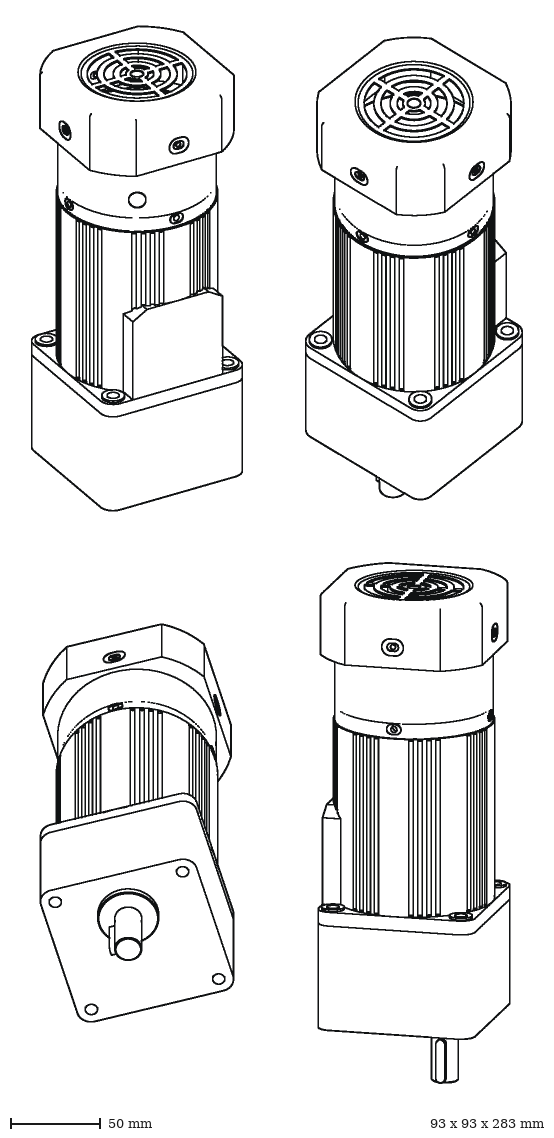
import cadquery as cq
import math

TOTAL_HEIGHT = 283.0
BOSS_BOTTOM = 32.0
GEARBOX_BOTTOM = 36.0
GEARBOX_TOP = 96.0
FLANGE_TOP = 104.0
FINS_TOP = 206.0
SPIGOT_TOP = 214.5
HEAD_BOTTOM = 247.0

BOX_WIDTH = 90.0
BOX_CORNER_RADIUS = 8.0
BOLT_SPACING = 73.5
BOLT_HOLE_DIAMETER = 6.8
PAD_DIAMETER = 12.7
PAD_HEIGHT = 1.0

SHAFT_OFFSET = -17.8
SHAFT_DIAMETER = 15.0
SHAFT_CHAMFER = 0.5
BOSS_DIAMETER = 34.0
BOSS_CHAMFER = 0.5
KEY_BOTTOM = SHAFT_CHAMFER
KEY_LENGTH = 25.0
KEY_WIDTH = 5.0
KEY_REACH = 10.2

GROOVE_RADIUS = 1.27
END_BAND = 0.8
FIN_SECTORS = 8
GROOVES_PER_SECTOR = 4
GROOVE_PITCH_ANGLE = 6.5
TERMINAL_BOX_WIDTH = 57.7
TERMINAL_BOX_TOP = 159.0
TERMINAL_BOX_SLOPE_RUN = 9.0
TERMINAL_BOX_SLOPE_DROP = 5.5

SKIRT_DIAMETER = 88.3
SKIRT_WALL = 0.5
SPIGOT_DIAMETER = SKIRT_DIAMETER - 2 * SKIRT_WALL
SCREW_Z = 211.0
SCREW_SLOT_LENGTH = 8.2
SCREW_SLOT_HEIGHT = 5.7
SCREW_SLOT_DEPTH = 2 * SKIRT_WALL
SCREW_HOLE_DIAMETER = 3.5
SCREW_HOLE_DEPTH = 4.2
CABLE_HOLE_DIAMETER = 9.5
CABLE_HOLE_Z = 226.0
CABLE_HOLE_AZIMUTH = -30.0

HEAD_WIDTH = 93.0
HEAD_CORNER_DIAMETER = 108.0
HEAD_WALL = 1.5
HEAD_TOP_WALL = 0.8
HEAD_FILLET = 2.8
HEAD_SLOT_Z = 259.0
HEAD_SLOT_LENGTH = 12.5
HEAD_SLOT_HEIGHT = 9.5
HEAD_SLOT_DEPTH = 0.3
INNER_SLOT_LENGTH = 6.5
INNER_SLOT_HEIGHT = 4.5
INNER_SLOT_DEPTH = 0.8
HEAD_HOLE_DIAMETER = 2.8

GRILLE_DIAMETER = 62.3
GRILLE_DEPTH = 0.8
GRILLE_SLOPE_WIDTH = 1.7
GRILLE_PLATE_DIAMETER = 69.5
VENT_RINGS = [(6.2, 9.3), (13.3, 18.5), (22.4, 27.7)]
SPOKE_WIDTH = 4.0
HUB_DIAMETER = 7.4
HUB_DEPTH = 0.5

QUARTER_TURNS = [0, 90, 180, 270]


def cylinder(diameter, bottom, top, x=0.0):
    """Upright cylinder between two heights."""
    return cq.Workplane("XY", origin=(x, 0, bottom)).circle(diameter / 2).extrude(top - bottom)


def rounded_box(bottom, top):
    """Square block with rounded upright edges."""
    block = cq.Workplane("XY", origin=(0, 0, bottom)).rect(BOX_WIDTH, BOX_WIDTH).extrude(top - bottom)
    return block.edges("|Z").fillet(BOX_CORNER_RADIUS)


def at_bolts(bottom):
    """Workplane with a point at each of the four bolts."""
    plane = cq.Workplane("XY", origin=(0, 0, bottom))
    return plane.rect(BOLT_SPACING, BOLT_SPACING, forConstruction=True).vertices()


def side_slot(length, height, z, outside, depth):
    """Cutter for a level slot that goes `depth` into the -Y side from the distance `outside`."""
    return cq.Workplane("XZ", origin=(0, depth - outside, z)).slot2D(length, height).extrude(depth)


def make_gearbox():
    """Gearbox housing with the output shaft, its boss and its key below."""
    gearbox = rounded_box(GEARBOX_BOTTOM, GEARBOX_TOP)
    bolt_holes = at_bolts(GEARBOX_BOTTOM).circle(BOLT_HOLE_DIAMETER / 2).extrude(GEARBOX_TOP - GEARBOX_BOTTOM)
    gearbox = gearbox.cut(bolt_holes)

    boss = cylinder(BOSS_DIAMETER, BOSS_BOTTOM, GEARBOX_BOTTOM, SHAFT_OFFSET)
    boss = boss.faces("<Z").edges().chamfer(BOSS_CHAMFER)
    shaft = cylinder(SHAFT_DIAMETER, 0, GEARBOX_BOTTOM, SHAFT_OFFSET)
    shaft = shaft.faces("<Z").edges().chamfer(SHAFT_CHAMFER)

    key_plane = cq.Workplane("XZ", origin=(SHAFT_OFFSET, KEY_REACH, KEY_BOTTOM + KEY_LENGTH / 2))
    key = key_plane.slot2D(KEY_LENGTH, KEY_WIDTH, 90).extrude(KEY_REACH)
    return gearbox.union(boss).union(shaft.union(key))


def make_flange():
    """Square plate between gearbox and motor, with a raised pad around each bolt hole."""
    flange = rounded_box(GEARBOX_TOP, FLANGE_TOP)
    pads_top = FLANGE_TOP + PAD_HEIGHT
    pads = at_bolts(FLANGE_TOP).circle(PAD_DIAMETER / 2).extrude(PAD_HEIGHT)
    bolt_holes = at_bolts(GEARBOX_TOP).circle(BOLT_HOLE_DIAMETER / 2).extrude(pads_top - GEARBOX_TOP)
    return flange.union(pads).cut(bolt_holes)


def make_terminal_box():
    """Block on the +X side with a roof that slopes down to both sides."""
    half_width = TERMINAL_BOX_WIDTH / 2
    ridge = half_width - TERMINAL_BOX_SLOPE_RUN
    eaves = TERMINAL_BOX_TOP - TERMINAL_BOX_SLOPE_DROP
    outline = [
        (-half_width, FLANGE_TOP),
        (half_width, FLANGE_TOP),
        (half_width, eaves),
        (ridge, TERMINAL_BOX_TOP),
        (-ridge, TERMINAL_BOX_TOP),
        (-half_width, eaves),
    ]
    return cq.Workplane("YZ").polyline(outline).close().extrude(BOX_WIDTH / 2)


def around_axis(shape, angle):
    """The shape turned about the motor axis."""
    return shape.rotate((0, 0, 0), (0, 0, 1), angle)


def make_motor():
    """Grooved motor body with the terminal box and the spigot that carries the cover."""
    motor = cylinder(BOX_WIDTH, FLANGE_TOP, FINS_TOP)

    groove_bottom = FLANGE_TOP + END_BAND
    groove = cq.Workplane("XY", origin=(BOX_WIDTH / 2, 0, groove_bottom))
    groove = groove.circle(GROOVE_RADIUS).extrude(FINS_TOP - END_BAND - groove_bottom)
    sector = 360 / FIN_SECTORS
    for i in range(FIN_SECTORS):
        for j in range(GROOVES_PER_SECTOR):
            angle = (i + 0.5) * sector + (j - (GROOVES_PER_SECTOR - 1) / 2) * GROOVE_PITCH_ANGLE
            motor = motor.cut(around_axis(groove, angle))

    motor = motor.union(make_terminal_box())
    pad_recesses = at_bolts(FLANGE_TOP).circle(PAD_DIAMETER / 2).extrude(PAD_HEIGHT)
    motor = motor.cut(pad_recesses)

    motor = motor.union(cylinder(SPIGOT_DIAMETER, FINS_TOP, SPIGOT_TOP))
    hole = cq.Workplane("XZ", origin=(0, SCREW_HOLE_DEPTH - SPIGOT_DIAMETER / 2, SCREW_Z))
    hole = hole.circle(SCREW_HOLE_DIAMETER / 2).extrude(SCREW_HOLE_DEPTH)
    for angle in QUARTER_TURNS:
        motor = motor.cut(around_axis(hole, angle))
    return motor


def square_head(width, corner_diameter, bottom, top):
    """Square block with round corners and a filleted top edge."""
    block = cq.Workplane("XY", origin=(0, 0, bottom)).rect(width, width).extrude(top - bottom)
    block = block.intersect(cylinder(corner_diameter, bottom, top))
    return block.faces(">Z").edges().fillet(HEAD_FILLET)


def make_vents(bottom, height):
    """Cutters for the rings of vents, each interrupted by two crossing spokes."""
    spoke = cq.Workplane("XY", origin=(0, 0, bottom)).rect(GRILLE_DIAMETER, SPOKE_WIDTH).extrude(height)
    spokes = spoke.union(around_axis(spoke, 90))
    plane = cq.Workplane("XY", origin=(0, 0, bottom))
    rings = [plane.circle(outer).circle(inner).extrude(height) for inner, outer in VENT_RINGS]
    return [ring.cut(spokes) for ring in rings]


def make_cover():
    """Thin hollow cover whose skirt fits over the motor spigot."""
    cavity_top = TOTAL_HEIGHT - HEAD_TOP_WALL
    cover = square_head(HEAD_WIDTH, HEAD_CORNER_DIAMETER, HEAD_BOTTOM, TOTAL_HEIGHT)
    cover = cover.union(cylinder(SKIRT_DIAMETER, FINS_TOP, HEAD_BOTTOM))
    cavity = square_head(
        HEAD_WIDTH - 2 * HEAD_WALL, HEAD_CORNER_DIAMETER - 2 * HEAD_WALL, HEAD_BOTTOM + HEAD_WALL, cavity_top
    )
    cover = cover.cut(cavity).cut(cylinder(SPIGOT_DIAMETER, FINS_TOP, HEAD_BOTTOM + HEAD_WALL))

    grille_top = TOTAL_HEIGHT - GRILLE_DEPTH
    grille_bottom = grille_top - HEAD_TOP_WALL
    cover = cover.union(cylinder(GRILLE_PLATE_DIAMETER, grille_bottom, cavity_top))
    recess = cq.Workplane("XY", origin=(0, 0, grille_top)).circle(GRILLE_DIAMETER / 2)
    slope = math.degrees(math.atan2(GRILLE_SLOPE_WIDTH, GRILLE_DEPTH))
    cover = cover.cut(recess.extrude(GRILLE_DEPTH, taper=-slope))
    for vent in make_vents(grille_bottom, HEAD_TOP_WALL):
        cover = cover.cut(vent)
    cover = cover.cut(cylinder(HUB_DIAMETER, grille_top - HUB_DEPTH, grille_top))

    half_width = HEAD_WIDTH / 2
    skirt_radius = SKIRT_DIAMETER / 2
    slot = side_slot(HEAD_SLOT_LENGTH, HEAD_SLOT_HEIGHT, HEAD_SLOT_Z, half_width, HEAD_SLOT_DEPTH)
    inner_slot = side_slot(INNER_SLOT_LENGTH, INNER_SLOT_HEIGHT, HEAD_SLOT_Z, half_width, INNER_SLOT_DEPTH)
    hole = cq.Workplane("XZ", origin=(0, HEAD_WALL - half_width, HEAD_SLOT_Z))
    hole = hole.circle(HEAD_HOLE_DIAMETER / 2).extrude(HEAD_WALL)
    screw_slot = side_slot(SCREW_SLOT_LENGTH, SCREW_SLOT_HEIGHT, SCREW_Z, skirt_radius, SCREW_SLOT_DEPTH)
    for angle in QUARTER_TURNS:
        for cutter in (slot, inner_slot, hole, screw_slot):
            cover = cover.cut(around_axis(cutter, angle))

    cable_hole = cq.Workplane("YZ", origin=(0, 0, CABLE_HOLE_Z)).circle(CABLE_HOLE_DIAMETER / 2)
    cable_hole = cable_hole.extrude(skirt_radius)
    return cover.cut(around_axis(cable_hole, CABLE_HOLE_AZIMUTH))


gearbox = make_gearbox()
flange = make_flange()
motor = make_motor()
cover = make_cover()

result = cq.Compound.makeCompound([body.solids().val() for body in (gearbox, flange, motor, cover)])